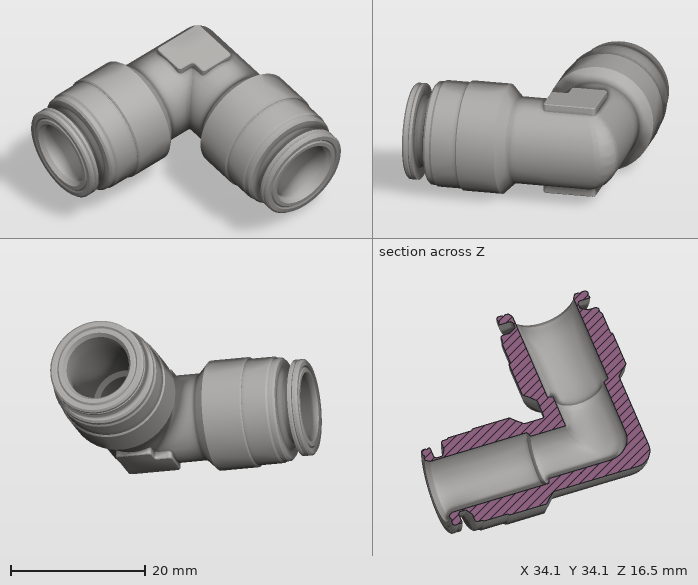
import cadquery as cq
import math


overall_length = 34.12
body_radius = 8.25
port_end = overall_length - body_radius
neck_radius = 6.5
shoulder_end = 11.43
shoulder_foot = shoulder_end - (body_radius - neck_radius)
shoulder_fillet = 0.5
body_end = 17.47
body_end_chamfer = 0.2
sleeve_radius = 8.0
sleeve_end = 21.2
cap_radius = 7.78
cap_start = 21.5
cap_end = 22.52
cap_chamfer = 0.3

collet_radius = 5.2
collet_cone_radius = 6.2
collet_cone_end = 23.15
flange_radius = 7.25
flange_start = 24.35
flange_root_chamfer = 0.27
flange_end_chamfer = 0.27
groove_depth = 0.2
rim_groove_width = 0.35
rim_groove_position = 24.95
face_groove_width = 0.45
face_groove_radius = 6.07

lead_in_radius = 5.25
lead_in_depth = 0.7
tube_radius = 4.8
bore_radius = 4.0
stop_position = 9.55
stop_taper_length = 0.35

pad_top = 7.05
pad_outer_reach = 2.75
pad_size = 8.02
pad_notch = 2.52
pad_corner_radius = 0.5
pad_edge_chamfer = 0.1

outer_mitre_fillet = 3.0
inner_mitre_fillet = 0.35


def revolve_about_x(profile):
    """Revolve a closed XY profile about X, with its seam on the +Z side."""
    return profile.revolve(360, (0, 0, 0), (1, 0, 0)).rotate((0, 0, 0), (1, 0, 0), 90)


def to_second_socket(shape):
    """Flip a shape lying along +X over the mitre line so that it lies along -Y."""
    return shape.rotate((0, 0, 0), (1, -1, 0), 180)


def on_both_sockets(shape):
    return shape.union(to_second_socket(shape))


def make_pads():
    """Upper and lower pad as one block that runs through the neck."""
    start = -pad_outer_reach
    end = start + pad_size
    notch = end - pad_notch
    return (
        cq.Workplane("XY")
        .polyline([
            (start, -start),
            (end, -start),
            (end, -notch),
            (notch, -notch),
            (notch, -end),
            (start, -end),
        ])
        .close()
        .extrude(pad_top, both=True)
        .edges("|Z")
        .fillet(pad_corner_radius)
        .faces("|Z")
        .chamfer(pad_edge_chamfer)
    )


def fillet_mitre(solid, side, radius):
    """Round the mitre edges whose centre lies on the given side of X = 0."""
    edges = [
        edge for edge in solid.edges("%ELLIPSE").vals()
        if math.isclose(edge.Center().x, -edge.Center().y, abs_tol=0.005)
        and edge.Center().x * side > 0
    ]
    return solid.newObject(edges).fillet(radius)


def make_neck():
    """Mitred elbow of two tubes with the corner pads, mitre edges rounded."""
    tube = revolve_about_x(
        cq.Workplane("XY")
        .moveTo(-neck_radius, 0)
        .lineTo(shoulder_end, 0)
        .lineTo(shoulder_end, neck_radius)
        .lineTo(-neck_radius, neck_radius)
        .close()
    )
    mitre_reach = 2 * body_radius
    mitre_side = (
        cq.Workplane("XY")
        .polyline([
            (-mitre_reach, mitre_reach),
            (mitre_reach, -mitre_reach),
            (mitre_reach, mitre_reach),
        ])
        .close()
        .extrude(body_radius, both=True)
    )
    neck = on_both_sockets(tube.intersect(mitre_side)).union(make_pads())
    neck = fillet_mitre(neck, -1, outer_mitre_fillet)
    return fillet_mitre(neck, 1, inner_mitre_fillet)


def make_socket():
    """Shoulder, body, sleeve, cap and release collet of one socket."""
    tangent = shoulder_fillet * math.tan(math.radians(45 / 2))
    tangent_step = tangent * math.sin(math.radians(45))
    neck_start = shoulder_foot - tangent
    half_rim_groove = rim_groove_width / 2
    half_face_groove = face_groove_width / 2
    return revolve_about_x(
        cq.Workplane("XY")
        .moveTo(neck_start, 0)
        .lineTo(neck_start, neck_radius)
        .radiusArc((shoulder_foot + tangent_step, neck_radius + tangent_step), -shoulder_fillet)
        .lineTo(shoulder_end, body_radius)
        .lineTo(body_end - body_end_chamfer, body_radius)
        .lineTo(body_end, body_radius - body_end_chamfer)
        .lineTo(body_end, sleeve_radius)
        .lineTo(sleeve_end, sleeve_radius)
        .lineTo(cap_start, cap_radius)
        .lineTo(cap_end - cap_chamfer, cap_radius)
        .lineTo(cap_end, cap_radius - cap_chamfer)
        .lineTo(cap_end, collet_cone_radius)
        .lineTo(collet_cone_end, collet_radius)
        .lineTo(flange_start - flange_root_chamfer, collet_radius)
        .lineTo(flange_start, collet_radius + flange_root_chamfer)
        .lineTo(flange_start, flange_radius)
        .lineTo(rim_groove_position - half_rim_groove, flange_radius)
        .lineTo(rim_groove_position, flange_radius - groove_depth)
        .lineTo(rim_groove_position + half_rim_groove, flange_radius)
        .lineTo(port_end - flange_end_chamfer, flange_radius)
        .lineTo(port_end, flange_radius - flange_end_chamfer)
        .lineTo(port_end, face_groove_radius + half_face_groove)
        .lineTo(port_end - groove_depth, face_groove_radius)
        .lineTo(port_end, face_groove_radius - half_face_groove)
        .lineTo(port_end, 0)
        .close()
    )


def make_bore():
    """Tube seat with lead-in and tapered stop, then the flow bore to the crossing."""
    return revolve_about_x(
        cq.Workplane("XY")
        .moveTo(0, 0)
        .lineTo(0, bore_radius)
        .lineTo(stop_position, bore_radius)
        .lineTo(stop_position + stop_taper_length, tube_radius)
        .lineTo(port_end - lead_in_depth, tube_radius)
        .lineTo(port_end, lead_in_radius)
        .lineTo(port_end, 0)
        .close()
    )


outside = make_neck().union(on_both_sockets(make_socket()))
bores = on_both_sockets(make_bore()).union(cq.Workplane("XY").sphere(bore_radius))
result = outside.cut(bores).solids()